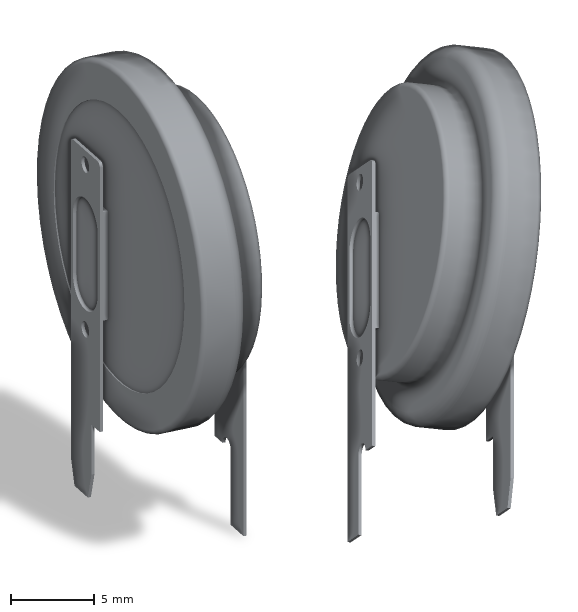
import cadquery as cq


can_diameter = 23.1
can_depth = 3.0
can_back_radius = 0.8
cap_diameter = 18.0
cell_depth = 5.3
edge_radius = 0.3
recess_depth = 0.1

sheet_thickness = 0.2
sheet_standoff = 0.25
tab_width = 4.0
tab_offset = 3.73
tab_top = 4.88
shoulder_z = -13.0
corner_radius = 0.3
pad_height = 7.22
pad_center_z = -2.0
slot_length = 7.4
slot_width = 3.4
slot_taper = 0.1
hole_diameter = 1.05
hole_spacing = 10.95
hole_center_z = -1.55

front_leg_width = 2.85
front_leg_bottom = -18.05
front_tip_start = -16.3
front_tip_width = 1.85
front_tip_inset = 0.5
rear_leg_width = 1.78
rear_leg_bottom = -17.97
relief_radius = 0.55

front_sheet_y = -sheet_standoff - sheet_thickness
rear_sheet_y = cell_depth + sheet_standoff


def make_cell():
    """Wide can and narrower cap, with a shallow round recess in the front face."""
    can = cylinder(can_diameter, 0, can_depth)
    can = can.faces("<Y").edges().fillet(edge_radius)
    can = can.faces(">Y").edges().fillet(can_back_radius)
    cap = cylinder(cap_diameter, can_depth / 2, cell_depth)
    cap = cap.faces(">Y").edges().fillet(edge_radius)
    cell = can.union(cap)
    root = cq.selectors.NearestToPointSelector((0, can_depth, 0))
    cell = cell.edges(root).fillet(edge_radius)
    return cell.cut(cylinder(cap_diameter, 0, recess_depth))


def cylinder(diameter, y_start, y_end):
    """Cylinder on the cell axis."""
    return xz_plane(y_start).circle(diameter / 2).extrude(y_end - y_start)


def xz_plane(y):
    """Sketch plane facing +Y whose local axes are Z and X."""
    return cq.Workplane(cq.Plane(origin=(0, y, 0), xDir=(0, 0, 1), normal=(0, 1, 0)))


def tab_head(center_x, sheet_y, pad_y, pad_thickness, outward):
    """Upper strip of a tab: contact pad, two round holes and a tapered blind slot.

    The sign of outward is the Y direction pointing away from the cell.
    """
    head = (
        xz_plane(sheet_y)
        .center((tab_top + shoulder_z) / 2, center_x)
        .rect(tab_top - shoulder_z, tab_width)
        .extrude(sheet_thickness)
        .edges("|Y and >Z")
        .fillet(corner_radius)
    )
    pad = (
        xz_plane(pad_y)
        .center(pad_center_z, center_x)
        .rect(pad_height, tab_width)
        .extrude(pad_thickness)
    )
    holes = (
        xz_plane(sheet_y)
        .center(hole_center_z, center_x)
        .rarray(hole_spacing, 0.3, 2, 1)
        .circle(hole_diameter / 2)
        .extrude(sheet_thickness)
    )
    outer_y = sheet_y if outward < 0 else sheet_y + sheet_thickness
    slot = (
        xz_plane(outer_y)
        .center(pad_center_z, center_x)
        .slot2D(slot_length, slot_width)
        .workplane(offset=-outward * sheet_thickness)
        .slot2D(slot_length - 2 * slot_taper, slot_width - 2 * slot_taper)
        .loft(ruled=True)
    )
    return head.union(pad).cut(holes).cut(slot)


def make_front_tab():
    """Tab pressed into the front recess, with a pointed leg along its -X edge."""
    head = tab_head(
        -tab_offset, front_sheet_y, front_sheet_y + sheet_thickness, sheet_standoff + recess_depth, -1
    )
    left = -tab_offset - tab_width / 2
    right = left + front_leg_width
    tip_left = left + front_tip_inset
    leg = (
        xz_plane(front_sheet_y)
        .moveTo(shoulder_z, left)
        .lineTo(front_tip_start, left)
        .lineTo(front_leg_bottom, tip_left)
        .lineTo(front_leg_bottom, tip_left + front_tip_width)
        .lineTo(front_tip_start, right)
        .lineTo(shoulder_z, right)
        .close()
        .extrude(sheet_thickness)
    )
    return head.union(leg)


def make_rear_tab():
    """Tab on the cap, with a square leg along its +X edge and a round relief beside it."""
    head = tab_head(tab_offset, rear_sheet_y, cell_depth, sheet_standoff, 1)
    right = tab_offset + tab_width / 2
    left = right - rear_leg_width
    leg = (
        xz_plane(rear_sheet_y)
        .center((shoulder_z + rear_leg_bottom) / 2, (left + right) / 2)
        .rect(shoulder_z - rear_leg_bottom, rear_leg_width)
        .extrude(sheet_thickness)
    )
    relief = (
        xz_plane(rear_sheet_y)
        .center(shoulder_z, left - relief_radius)
        .circle(relief_radius)
        .extrude(sheet_thickness)
    )
    return head.union(leg).cut(relief)


cell = make_cell()
front_tab = make_front_tab()
rear_tab = make_rear_tab()

result = cq.Compound.makeCompound([
    *cell.solids().vals(),
    *front_tab.solids().vals(),
    *rear_tab.solids().vals(),
])